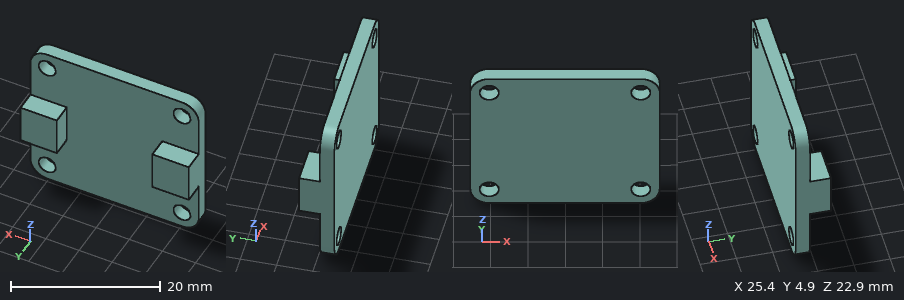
import cadquery as cq

plate_width = 25.4
plate_height = 22.86
plate_thickness = 2.0
corner_radius = 2.54

hole_diameter = 2.54
hole_spacing_x = plate_width - 2 * corner_radius
hole_spacing_z = plate_height - 2 * corner_radius

total_depth = 4.9
block_width = 5.5
block_height = 6.0
block_depth = total_depth - plate_thickness
block_offset = (plate_width - block_width) / 2


def make_plate():
    """Rounded plate with a through hole at each corner."""
    plate = (
        cq.Workplane("XY")
        .box(plate_width, plate_thickness, plate_height, centered=(True, False, True))
        .edges("|Y")
        .fillet(corner_radius)
    )
    return (
        plate.faces("<Y")
        .workplane(centerOption="CenterOfBoundBox")
        .rect(hole_spacing_x, hole_spacing_z, forConstruction=True)
        .vertices()
        .hole(hole_diameter)
    )


def make_block(center_x):
    """Rectangular block standing on the back face of the plate."""
    return (
        cq.Workplane("XY")
        .box(block_width, block_depth, block_height, centered=(True, False, True))
        .translate((center_x, plate_thickness, 0))
    )


result = make_plate()
for side in (-1, 1):
    result = result.union(make_block(side * block_offset))